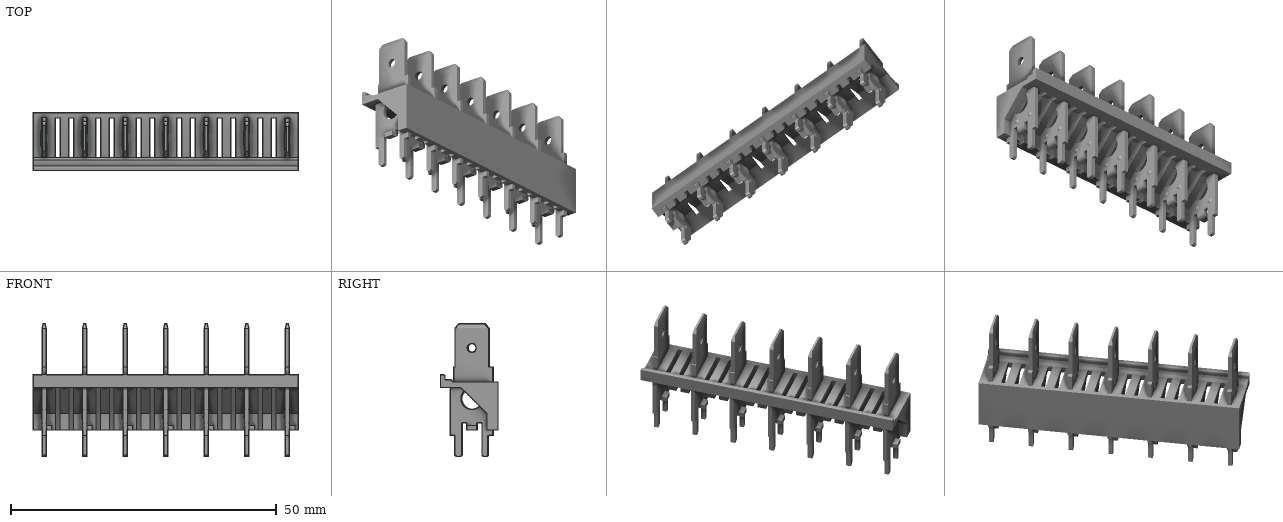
import cadquery as cq


blade_count = 7
slot_pitch = 2.54
slots_per_blade = 3
blade_pitch = slots_per_blade * slot_pitch
end_margin = 2.06
row_length = (blade_count - 1) * blade_pitch
housing_length = row_length + 2 * end_margin

housing_depth = 10.9
deck_top = 9.05
deck_bottom = 8.0
wall_depth = 2.1
web_foot = 3.1
web_reach = 7.05
ramp_start = 8.42
ramp_rise = 0.45
ledge_top = deck_top + ramp_rise
ledge_start = ramp_start + ramp_rise
lip_top = 10.45
lip_thickness = 0.9
lip_back = housing_depth - lip_thickness
lip_radius = 0.4

slot_width = 0.9
slot_back = 1.0

blade_thickness = 0.8
blade_top = 20.0
leg_bottom = -5.0
blade_center = 4.82
tab_width = 6.3
tab_back = blade_center - tab_width / 2
tab_front = blade_center + tab_width / 2
tip_height = 0.9
tip_inset = 0.75
tip_thickness = 0.4
shoulder_top = 11.9
shoulder_back = 0.87
shoulder_front = 8.2
body_front = 8.85
body_bottom = -1.0
body_chamfer = 0.25
leg_back = 1.8
leg_front = 8.0
back_leg_width = 1.1
front_leg_width = 1.25
leg_chamfer = 0.3
corner_radius = 0.15
gap_top = 1.35
tongue_width = 1.85
tongue_reach = 1.0
tongue_top = 0.9

hole_diameter = 1.65
hole_height = 15.45
window_diameter = 4.0
window_height = 5.9
pip_diameter = 1.0
pip_height = 0.2
pip_level = 2.5
pip_depths = (3.75, 7.35)

lance_top = 11.0
lance_top_width = 3.1
lance_bottom_width = 2.75
lance_center = 4.85
lance_projection = 0.25

loose_blade_offset = 0.2


def side_profile(points, thickness):
    """Extrude (distance from back, height) points along X, centred on X = 0."""
    outline = [(-depth, height) for depth, height in points]
    return cq.Workplane("YZ").polyline(outline).close().extrude(thickness / 2, both=True)


def fillet_corners(body, corners, radius):
    """Round the X-direction edges at the given (distance from back, height) corners."""
    for depth, height in corners:
        corner = cq.selectors.NearestToPointSelector((0, -depth, height))
        body = body.edges("|X").edges(corner).fillet(radius)
    return body


def make_housing():
    body = side_profile(
        [
            (0, 0),
            (0, deck_top),
            (ramp_start, deck_top),
            (ledge_start, ledge_top),
            (lip_back, ledge_top),
            (lip_back, lip_top),
            (housing_depth, lip_top),
            (housing_depth, deck_bottom),
            (web_reach, deck_bottom),
            (wall_depth, web_foot),
            (wall_depth, 0),
        ],
        housing_length,
    )
    body = fillet_corners(body, [(lip_back, lip_top)], lip_radius)
    slot_length = ramp_start - slot_back
    slot_count = (blade_count - 1) * slots_per_blade + 1
    slots = (
        cq.Workplane("XY")
        .center(0, -(slot_back + slot_length / 2))
        .rarray(slot_pitch, 1, slot_count, 1)
        .rect(slot_width, slot_length)
        .extrude(deck_top)
    )
    return body.cut(slots)


def make_lance():
    """Tapered barb that slopes out of the -X face and rests on the deck."""
    face = blade_thickness / 2
    ramp = (
        cq.Workplane("XZ", origin=(0, -lance_center, 0))
        .moveTo(-face, lance_top)
        .lineTo(-face - lance_projection, deck_top)
        .lineTo(0, deck_top)
        .lineTo(0, lance_top)
        .close()
        .extrude(lance_top_width / 2, both=True)
    )
    sides = side_profile(
        [
            (lance_center - lance_top_width / 2, lance_top),
            (lance_center + lance_top_width / 2, lance_top),
            (lance_center + lance_bottom_width / 2, deck_top),
            (lance_center - lance_bottom_width / 2, deck_top),
        ],
        blade_thickness + 2 * lance_projection,
    )
    return ramp.intersect(sides)


def make_tongue():
    """Tongue between the legs, curling from the blade plane towards +X."""
    face = blade_thickness / 2
    return (
        cq.Workplane("XZ", origin=(0, -blade_center, 0))
        .moveTo(-face, gap_top)
        .lineTo(-face, blade_thickness)
        .radiusArc((face, 0), -blade_thickness)
        .lineTo(face + tongue_reach, 0)
        .lineTo(face + tongue_reach, tongue_top)
        .lineTo(face, tongue_top)
        .lineTo(face, gap_top)
        .close()
        .extrude(tongue_width / 2, both=True)
    )


def make_pip(depth):
    """Domed pip on the -X face of the blade."""
    radius = pip_diameter / 2
    dome_radius = (radius**2 + pip_height**2) / (2 * pip_height)
    dome = (
        cq.Workplane("XY")
        .moveTo(0, 0)
        .lineTo(-radius, 0)
        .radiusArc((0, pip_height), dome_radius)
        .close()
        .revolve(360, (0, 0, 0), (0, 1, 0))
    )
    return dome.rotate((0, 0, 0), (0, 0, 1), 90).translate((-blade_thickness / 2, -depth, pip_level))


def make_thickness_envelope():
    """Full-width block whose top narrows to the thin tip of the tab."""
    half = blade_thickness / 2
    half_tip = tip_thickness / 2
    return (
        cq.Workplane("XZ")
        .polyline(
            [
                (-half, leg_bottom),
                (-half, blade_top - tip_height),
                (-half_tip, blade_top),
                (half_tip, blade_top),
                (half, blade_top - tip_height),
                (half, leg_bottom),
            ]
        )
        .close()
        .extrude(housing_depth)
    )


def make_blade():
    blade = side_profile(
        [
            (tab_back, shoulder_top),
            (tab_back, blade_top - tip_height),
            (tab_back + tip_inset, blade_top),
            (tab_front - tip_inset, blade_top),
            (tab_front, blade_top - tip_height),
            (tab_front, shoulder_top),
            (shoulder_front, shoulder_top),
            (shoulder_front, deck_bottom),
            (body_front - body_chamfer, deck_bottom),
            (body_front, deck_bottom - body_chamfer),
            (body_front, body_bottom),
            (leg_front, body_bottom),
            (leg_front, leg_bottom + leg_chamfer),
            (leg_front - leg_chamfer, leg_bottom),
            (leg_front - front_leg_width + leg_chamfer, leg_bottom),
            (leg_front - front_leg_width, leg_bottom + leg_chamfer),
            (leg_front - front_leg_width, gap_top),
            (leg_back + back_leg_width, gap_top),
            (leg_back + back_leg_width, leg_bottom + leg_chamfer),
            (leg_back + back_leg_width - leg_chamfer, leg_bottom),
            (leg_back + leg_chamfer, leg_bottom),
            (leg_back, leg_bottom + leg_chamfer),
            (leg_back, body_bottom),
            (shoulder_back, body_bottom),
            (shoulder_back, shoulder_top),
        ],
        blade_thickness,
    )
    inner_corners = [
        (tab_back, shoulder_top),
        (leg_back, body_bottom),
        (leg_front, body_bottom),
        (leg_back + back_leg_width, gap_top),
        (leg_front - front_leg_width, gap_top),
    ]
    blade = fillet_corners(blade, inner_corners, corner_radius)
    openings = (
        cq.Workplane("YZ", origin=(-blade_thickness / 2, 0, 0))
        .pushPoints([(-blade_center, hole_height)])
        .circle(hole_diameter / 2)
        .pushPoints([(-blade_center, window_height)])
        .circle(window_diameter / 2)
        .extrude(blade_thickness)
    )
    blade = blade.intersect(make_thickness_envelope()).cut(openings)
    blade = blade.union(make_lance()).union(make_tongue())
    for depth in pip_depths:
        blade = blade.union(make_pip(depth))
    return blade


def blade_x(index):
    """X position of a blade, counted from the -X end."""
    return index * blade_pitch - row_length / 2


def make_header(blade):
    """Housing with every blade but the last moulded in."""
    header = make_housing()
    for index in range(blade_count - 1):
        header = header.union(blade.translate((blade_x(index), 0, 0)))
    return header


def make_loose_blade(blade):
    """Separate blade standing in the last open slot."""
    return blade.translate((blade_x(blade_count - 1), -loose_blade_offset, 0))


blade = make_blade()
header = make_header(blade)
loose_blade = make_loose_blade(blade)
result = cq.Compound.makeCompound([header.val(), loose_blade.val()])